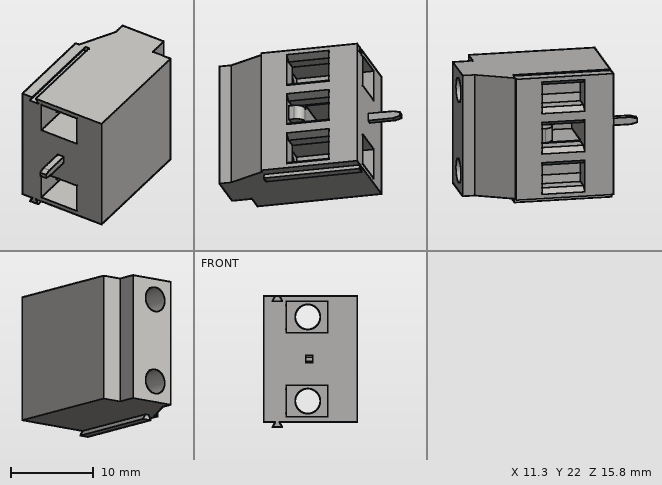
import cadquery as cq

WIDTH = 11.35
TOTAL_HEIGHT = 22
TOTAL_LENGTH = 15.85
PIN_LENGTH = 3.98
RAIL_DEPTH = 0.62
BODY_HEIGHT = TOTAL_HEIGHT - PIN_LENGTH
BODY_LENGTH = TOTAL_LENGTH - RAIL_DEPTH

SHOULDER_HEIGHT = 12.0
SHOULDER_WIDTH = 0.5
SLOPE_TOP = 16.5
CREST_LEFT = 2.88
CREST_RIGHT = 8.8
BACK_HEIGHT = 15.53

RAIL_CENTER = 1.67
RAIL_NECK = 0.5
RAIL_BASE = 1.2

PITCH = 5.08
MIDDLE_Z = BODY_LENGTH / 2
CELL_BOTTOM = 3.52
CELL_TOP = 8.82
MOUTH_HEIGHT = 3.98
THROAT_HEIGHT = 2.88
THROAT_OFFSET = -0.033
FUNNEL_DEPTH = 0.97

POCKET_LEFT = 2.73
POCKET_RIGHT = 7.79
POCKET_LENGTH = 3.83
POCKET_DEPTH = 9.68
HOLE_DIAMETER = 3.0
HOLE_X = 5.35

RECESS_LENGTH = 2.65
RECESS_TOP = 7.13
CONTACT_LEFT = 1.1
CONTACT_THICKNESS = 1.75
CONTACT_RADIUS = 1.05

PIN_LEFT = 5.08
PIN_WIDTH = 0.85
PIN_THICKNESS = 0.9
TIP_LENGTH = 0.81
TIP_THICKNESS = 0.48


def box(x_range, y_range, z_center, length):
    """Box between two X and two Y limits, centred on a Z position."""
    x0, x1 = x_range
    y0, y1 = y_range
    return cq.Workplane("XY").box(x1 - x0, y1 - y0, length, centered=False).translate(
        (x0, y0, z_center - length / 2)
    )


def housing():
    outline = [
        (0, 0),
        (WIDTH, 0),
        (WIDTH, BACK_HEIGHT),
        (CREST_RIGHT, BACK_HEIGHT),
        (CREST_RIGHT, BODY_HEIGHT),
        (CREST_LEFT, BODY_HEIGHT),
        (CREST_LEFT, SLOPE_TOP),
        (SHOULDER_WIDTH, SHOULDER_HEIGHT),
        (0, SHOULDER_HEIGHT),
    ]
    return cq.Workplane("XY").polyline(outline).close().extrude(BODY_LENGTH)


def dovetail(neck_z):
    """Dovetail bar along Y, narrow at neck_z and widening downwards."""
    outline = [
        (RAIL_CENTER - RAIL_NECK / 2, neck_z),
        (RAIL_CENTER + RAIL_NECK / 2, neck_z),
        (RAIL_CENTER + RAIL_BASE / 2, neck_z - RAIL_DEPTH),
        (RAIL_CENTER - RAIL_BASE / 2, neck_z - RAIL_DEPTH),
    ]
    return cq.Workplane("XZ").polyline(outline).close().extrude(-SHOULDER_HEIGHT)


def wire_cell(z_center):
    """Side opening that narrows in Z from its mouth to a straight throat."""
    throat_z = z_center + THROAT_OFFSET
    throat_low = throat_z - THROAT_HEIGHT / 2
    throat_high = throat_z + THROAT_HEIGHT / 2
    outline = [
        (0, z_center - MOUTH_HEIGHT / 2),
        (FUNNEL_DEPTH, throat_low),
        (POCKET_LEFT, throat_low),
        (POCKET_LEFT, throat_high),
        (FUNNEL_DEPTH, throat_high),
        (0, z_center + MOUTH_HEIGHT / 2),
    ]
    cell = cq.Workplane("XZ").polyline(outline).close().extrude(CELL_BOTTOM - CELL_TOP)
    return cell.translate((0, CELL_BOTTOM, 0))


def pocket_with_hole(z_center):
    pocket = box((POCKET_LEFT, POCKET_RIGHT), (0, POCKET_DEPTH), z_center, POCKET_LENGTH)
    hole = cq.Workplane("XZ").center(HOLE_X, z_center).circle(HOLE_DIAMETER / 2).extrude(-BODY_HEIGHT)
    return pocket.union(hole)


def clamp_recess():
    return box(
        (POCKET_LEFT, POCKET_RIGHT), (CELL_BOTTOM, RECESS_TOP), MIDDLE_Z + THROAT_OFFSET, RECESS_LENGTH
    )


def contact():
    """Block hanging from the top of the middle cell, rounded on its lower outer edge."""
    block = box(
        (CONTACT_LEFT, POCKET_LEFT), (RECESS_TOP, CELL_TOP), MIDDLE_Z + THROAT_OFFSET, CONTACT_THICKNESS
    )
    return block.edges("|Z and <X and <Y").fillet(CONTACT_RADIUS)


def solder_pin():
    """Pin below the mounting face with a tip tapered in Z."""
    half = PIN_THICKNESS / 2
    tip_half = TIP_THICKNESS / 2
    taper_start = TIP_LENGTH - PIN_LENGTH
    outline = [
        (0, -half),
        (taper_start, -half),
        (-PIN_LENGTH, -tip_half),
        (-PIN_LENGTH, tip_half),
        (taper_start, half),
        (0, half),
    ]
    pin = cq.Workplane("YZ").polyline(outline).close().extrude(PIN_WIDTH)
    return pin.translate((PIN_LEFT, 0, MIDDLE_Z))


result = housing().cut(dovetail(BODY_LENGTH)).union(dovetail(0))
for step in (-1, 0, 1):
    result = result.cut(wire_cell(MIDDLE_Z + step * PITCH))
for side in (-1, 1):
    result = result.cut(pocket_with_hole(MIDDLE_Z + side * PITCH))
result = result.cut(clamp_recess()).union(contact()).union(solder_pin())